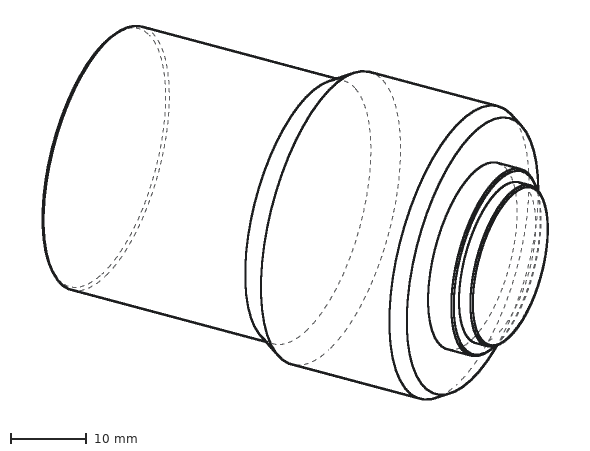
import cadquery as cq

total_length = 60.45
handle_end = 30.35
head_start = 33.7
head_chamfer_start = 52.8
head_end = 54.8
collar_end = 58.5

handle_diameter = 36.0
head_diameter = 40.0
collar_diameter = 25.5
tip_diameter = 22.0

handle_chamfer = 0.35
head_chamfer_depth = 1.15
small_chamfer = 0.25


def cylinder(start, end, diameter):
    """Solid cylinder along X between two axial positions."""
    return cq.Workplane("YZ", origin=(start, 0, 0)).circle(diameter / 2).extrude(end - start)


def cone(start, end, start_diameter, end_diameter):
    """Solid truncated cone along X between two axial positions."""
    profile = [
        (start, 0),
        (start, start_diameter / 2),
        (end, end_diameter / 2),
        (end, 0),
    ]
    return cq.Workplane("XY").polyline(profile).close().revolve(360, (0, 0, 0), (1, 0, 0))


handle = cylinder(0, handle_end, handle_diameter).faces("<X").chamfer(handle_chamfer)

shoulder = cone(handle_end, head_start, handle_diameter, head_diameter)
head = cylinder(head_start, head_chamfer_start, head_diameter)
head_face_diameter = head_diameter - 2 * head_chamfer_depth
head_taper = cone(head_chamfer_start, head_end, head_diameter, head_face_diameter)

collar = cylinder(head_end, collar_end, collar_diameter).faces(">X").chamfer(small_chamfer)
tip = cylinder(collar_end, total_length, tip_diameter).faces(">X").chamfer(small_chamfer)

result = handle.union(shoulder).union(head).union(head_taper).union(collar).union(tip)